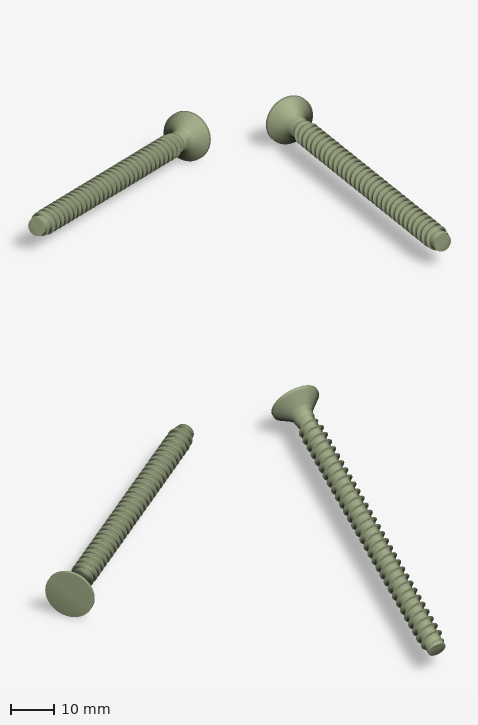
import cadquery as cq
import math

length = 75.0
head_radius = 6.0
rim_thickness = 0.75
cone_end_depth = 4.2
shank_diameter = 4.9
shank_radius = shank_diameter / 2
shank_end_depth = 5.55
neck_fillet_radius = 2.6
core_diameter = 4.4
core_radius = core_diameter / 2
core_start_depth = 6.0

full_start_depth = 8.7
full_end_depth = 71.85
full_turns = 29.5
pitch = (full_end_depth - full_start_depth) / full_turns
run_in_turns = 1.5
run_out_turns = 1.4
full_start_angle = 90.0

root_overlap = 0.15
root_radius = core_radius - root_overlap
root_width = 1.5
shoulder_height = 0.19
shoulder_radius = core_radius + shoulder_height
shoulder_width = 0.45
crest_diameter = 6.1
crest_radius = crest_diameter / 2
crest_width = 0.1
faded_shoulder_radius = core_radius - root_overlap / 2
faded_crest_radius = core_radius - root_overlap / 4


def make_body():
    """Head, neck and core as one turned solid."""
    body = (
        cq.Workplane("XZ")
        .lineTo(head_radius, 0)
        .lineTo(head_radius, -rim_thickness)
        .lineTo(shank_radius, -cone_end_depth)
        .lineTo(shank_radius, -shank_end_depth)
        .lineTo(core_radius, -core_start_depth)
        .lineTo(core_radius, -length)
        .lineTo(0, -length)
        .close()
        .revolve(360, (0, 0), (0, 1))
    )
    neck_centre = (0, 0, -cone_end_depth)
    neck_edge = body.edges("%CIRCLE").edges(cq.selectors.NearestToPointSelector(neck_centre))
    return neck_edge.fillet(neck_fillet_radius)


def helix(start_radius, end_radius, turns, offset):
    """Right-handed helix edge rising from `offset`; its radius changes evenly along the axis."""
    height = turns * pitch
    if start_radius == end_radius:
        wire = cq.Wire.makeHelix(pitch, height, start_radius)
    else:
        slope = math.atan2(end_radius - start_radius, height)
        stretch = 1 / math.cos(slope)
        wire = cq.Wire.makeHelix(pitch * stretch, height * stretch, start_radius, angle=math.degrees(slope))
    return wire.translate(cq.Vector(0, 0, offset)).Edges()[0]


def thread_piece(turns, end_depth, start_radii, end_radii):
    """Ridge rising from `end_depth` towards the head; the radii are (shoulder, crest) pairs."""
    start_shoulder, start_crest = start_radii
    end_shoulder, end_crest = end_radii
    half_section = [
        (root_radius, root_radius, root_width / 2),
        (start_shoulder, end_shoulder, shoulder_width / 2),
        (start_crest, end_crest, crest_width / 2),
    ]
    corners = [helix(start, end, turns, -half_width) for start, end, half_width in half_section]
    corners += [helix(start, end, turns, half_width) for start, end, half_width in reversed(half_section)]

    neighbours = corners[1:] + corners[:1]
    faces = [cq.Face.makeRuledSurface(corner, neighbour) for corner, neighbour in zip(corners, neighbours)]
    for end in (0, 1):
        section = [corner.positionAt(end) for corner in corners]
        faces.append(cq.Face.makeFromWires(cq.Wire.makePolygon(section, close=True)))
    ridge = cq.Solid.makeSolid(cq.Shell.makeShell(faces))

    start_angle = full_start_angle + 360 * (full_start_depth - end_depth) / pitch
    ridge = ridge.rotate(cq.Vector(0, 0, 0), cq.Vector(0, 0, 1), start_angle)
    return ridge.translate(cq.Vector(0, 0, -end_depth))


def make_thread_pieces():
    """Run-out at the tip, full thread, and run-in below the head."""
    full = (shoulder_radius, crest_radius)
    faded = (faded_shoulder_radius, faded_crest_radius)
    run_out_depth = full_end_depth + run_out_turns * pitch
    run_out = thread_piece(run_out_turns, run_out_depth, faded, full)
    envelope = cq.Solid.makeCylinder(head_radius, length, cq.Vector(0, 0, -length))
    return [
        run_out.intersect(envelope),
        thread_piece(full_turns, full_end_depth, full, full),
        thread_piece(run_in_turns, full_start_depth, full, faded),
    ]


screw = make_body()
for piece in make_thread_pieces():
    screw = screw.union(cq.Workplane(piece))

result = screw.rotate((0, 0, 0), (1, 0, 0), -90)